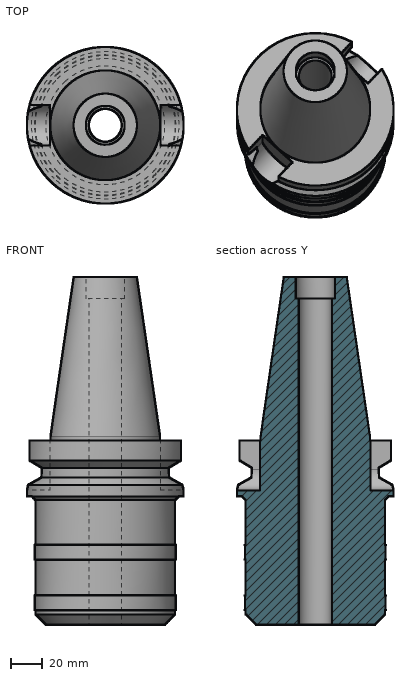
import cadquery as cq

total_height = 221.8
body_radius = 44.5
nose_radius = 38.0
nose_height = body_radius - nose_radius
body_top = 79.5

band_radius = 45.0
band_height = 10.0
band_edge = band_radius - body_radius
band_bottoms = (9.0, 41.3)

flange_diameter = 100.0
flange_radius = flange_diameter / 2
flange_bottom = 81.8
relief_radius = 47.0
groove_radius = 42.5
groove_lower_edge = 89.2
groove_floor_bottom = 93.8
groove_floor_top = 100.0
groove_upper_edge = 104.7
flange_top = 117.5

taper_slope = 7 / 24 / 2
taper_start = 120.0
taper_base_radius = 35.0
taper_top_radius = taper_base_radius - (total_height - taper_start) * taper_slope

slot_width = 26.0
slot_floor_distance = 35.3
slot_bottom = 85.8
slot_arc_center = slot_bottom + slot_width / 2

bore_radius = 10.5
counterbore_radius = 12.5
counterbore_depth = 13.8


def make_body():
    """Revolve the outer profile, from the nose up to the taper end."""
    profile = [
        (0, 0),
        (nose_radius, 0),
        (body_radius, nose_height),
        (body_radius, body_top),
        (relief_radius, flange_bottom),
        (flange_radius, flange_bottom),
        (flange_radius, groove_lower_edge),
        (groove_radius, groove_floor_bottom),
        (groove_radius, groove_floor_top),
        (flange_radius, groove_upper_edge),
        (flange_radius, flange_top),
        (taper_base_radius, flange_top),
        (taper_base_radius, taper_start),
        (taper_top_radius, total_height),
        (0, total_height),
    ]
    return cq.Workplane("XZ").polyline(profile).close().revolve(360, (0, 0), (0, 1))


def make_band(bottom):
    """Raised band with sloped edges that run out on the body surface."""
    top = bottom + band_height
    profile = [
        (0, bottom),
        (body_radius, bottom),
        (band_radius, bottom + band_edge),
        (band_radius, top - band_edge),
        (body_radius, top),
        (0, top),
    ]
    return cq.Workplane("XZ").polyline(profile).close().revolve(360, (0, 0), (0, 1))


def make_slot(side):
    """Round-bottomed drive slot, open at the flange top; side is -1 or +1."""
    half_width = slot_width / 2
    return (
        cq.Workplane("YZ", origin=(side * slot_floor_distance, 0, 0))
        .moveTo(-half_width, flange_top)
        .lineTo(-half_width, slot_arc_center)
        .threePointArc((0, slot_bottom), (half_width, slot_arc_center))
        .lineTo(half_width, flange_top)
        .close()
        .extrude(side * flange_radius)
    )


result = make_body()

for band_bottom in band_bottoms:
    result = result.union(make_band(band_bottom))

for slot_side in (-1, 1):
    result = result.cut(make_slot(slot_side))

bore = cq.Workplane("XY").circle(bore_radius).extrude(total_height)
counterbore = (
    cq.Workplane("XY", origin=(0, 0, total_height - counterbore_depth))
    .circle(counterbore_radius)
    .extrude(counterbore_depth)
)
result = result.cut(bore).cut(counterbore)